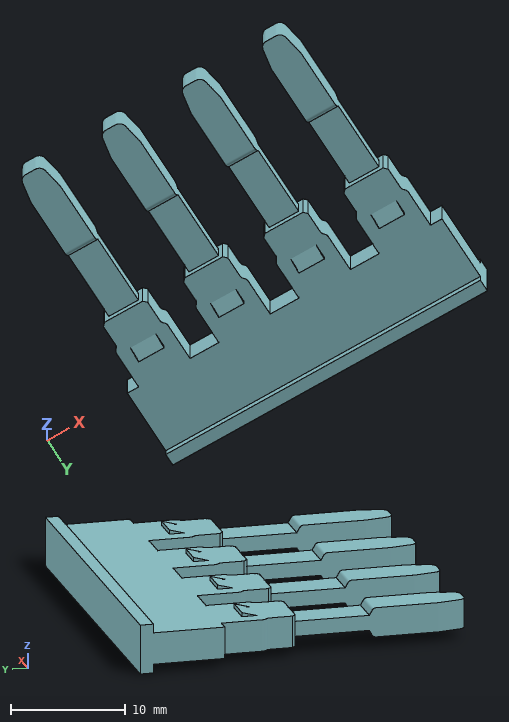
import cadquery as cq
import math


bar_length = 32.2
total_depth = 30.16
bar_front_y = 22.5
bar_thickness = 2.9
rail_depth = 1.2
rail_height = 4.5

leg_count = 4
leg_pitch = 8.2
leg_wide_half = 2.63
leg_narrow_half = 2.27
leg_front_y = 15.65
shoulder_start_y = 18.8
shoulder_end_y = 18.0
leg_corner_chamfer = 0.33

wedge_width = 2.6
wedge_back_y = 20.3
wedge_front_y = 18.95
wedge_rise = 0.38

pin_width = 3.03
neck_thickness = 1.4
blade_thickness = 2.7
ramp_start_y = 8.83
ramp_angle = 60
ramp_crest_radius = 0.4
taper_start_y = 2.53
taper_angle = 10
tip_corner_radius = 0.7

leg_centers = [(i - (leg_count - 1) / 2) * leg_pitch for i in range(leg_count)]


def slab(x_size, y_min, y_max, z_size):
    """Box centred on X and Z, spanning y_min to y_max."""
    y_mid = (y_min + y_max) / 2
    return cq.Workplane("XY").box(x_size, y_max - y_min, z_size).translate((0, y_mid, 0))


def make_bar():
    plate = slab(bar_length, bar_front_y, total_depth, bar_thickness)
    rail = slab(bar_length, total_depth - rail_depth, total_depth, rail_height)
    return plate.union(rail)


def make_leg():
    """Leg narrowing through S-shaped shoulders, with chamfered front corners."""
    mid_x = (leg_wide_half + leg_narrow_half) / 2
    mid_y = (shoulder_start_y + shoulder_end_y) / 2
    leg = (
        cq.Workplane("XY")
        .workplane(offset=-bar_thickness / 2)
        .moveTo(-leg_wide_half, bar_front_y)
        .lineTo(-leg_wide_half, shoulder_start_y)
        .tangentArcPoint((-mid_x, mid_y), relative=False)
        .tangentArcPoint((-leg_narrow_half, shoulder_end_y), relative=False)
        .lineTo(-leg_narrow_half, leg_front_y)
        .lineTo(0, leg_front_y)
        .lineTo(0, bar_front_y)
        .close()
        .extrude(bar_thickness)
    )
    front_corner = cq.selectors.NearestToPointSelector((-leg_narrow_half, leg_front_y, 0))
    half_leg = leg.edges("|Z").edges(front_corner).chamfer(leg_corner_chamfer)
    return half_leg.union(half_leg.mirror("YZ"))


def make_wedges():
    """Snap wedges rising toward the rail on the top and bottom of a leg."""
    face_z = bar_thickness / 2
    outline = [
        (wedge_back_y, 0),
        (wedge_back_y, face_z + wedge_rise),
        (wedge_front_y, face_z),
        (wedge_front_y, 0),
    ]
    top_wedge = cq.Workplane("YZ").polyline(outline).close().extrude(wedge_width / 2, both=True)
    return top_wedge.union(top_wedge.mirror("XY"))


def make_pin_side_profile():
    """Side shape of the pin: thin neck, sloped ramp with a rounded crest, thick blade."""
    angle = math.radians(ramp_angle)
    neck_z = neck_thickness / 2
    blade_z = blade_thickness / 2
    crest_start_z = blade_z - ramp_crest_radius * (1 - math.cos(angle))
    crest_start_y = ramp_start_y - (crest_start_z - neck_z) / math.tan(angle)
    crest_end_y = crest_start_y - ramp_crest_radius * math.sin(angle)
    upper_half = (
        cq.Workplane("YZ")
        .moveTo(leg_front_y, 0)
        .lineTo(leg_front_y, neck_z)
        .lineTo(ramp_start_y, neck_z)
        .lineTo(crest_start_y, crest_start_z)
        .tangentArcPoint((crest_end_y, blade_z), relative=False)
        .lineTo(0, blade_z)
        .lineTo(0, 0)
        .close()
        .extrude(pin_width / 2, both=True)
    )
    return upper_half.union(upper_half.mirror("XY"))


def make_pin_outline():
    """Plan shape of the pin, tapered to a tip with rounded corners."""
    half_width = pin_width / 2
    tip_half = half_width - taper_start_y * math.tan(math.radians(taper_angle))
    outline = [
        (-half_width, leg_front_y),
        (-half_width, taper_start_y),
        (-tip_half, 0),
        (tip_half, 0),
        (half_width, taper_start_y),
        (half_width, leg_front_y),
    ]
    plan = cq.Workplane("XY").polyline(outline).close().extrude(blade_thickness / 2, both=True)
    return plan.faces("<Y").edges("|Z").fillet(tip_corner_radius)


def make_pin():
    return make_pin_side_profile().intersect(make_pin_outline())


prong = make_leg().union(make_wedges()).union(make_pin())

result = make_bar()
for center_x in leg_centers:
    result = result.union(prong.translate((center_x, 0, 0)))